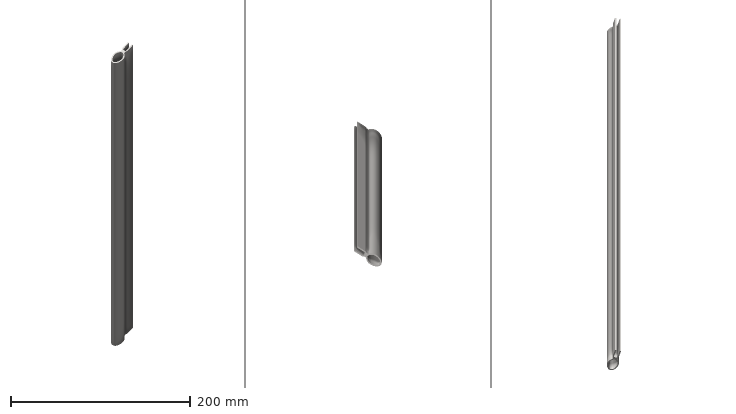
import math

import cadquery as cq

length = 500.0
depth = 33.5
wall = 1.5

bulb_half_width = 6.5
bulb_widest_y = -6.5
bulb_bottom_y = -depth / 2
shoulder_radius = 10.5
nose_radius = 4.5
bulb_top_y = 1.5
cavity_top_y = 1.0
nose_flat_width = 2.0
nose_flat_angle = math.acos(nose_flat_width / 2 / nose_radius)
nose_center_y = bulb_bottom_y + nose_radius * math.sin(nose_flat_angle)
nose_drop = bulb_widest_y - nose_center_y
flank_radius = (bulb_half_width**2 - nose_radius**2 + nose_drop**2) / (2 * (bulb_half_width - nose_radius))
nose_angle = math.atan2(nose_drop, flank_radius - bulb_half_width)

neck_width = 5.0
neck_bottom_y = cavity_top_y
taper_start_y = 4.0
taper_end_y = 6.5
prong_outer_width = 7.0
slot_width = prong_outer_width - 2 * wall
slot_floor_y = 5.0
prong_tip_y = depth / 2


def point_on_arc(center, radius, angle):
    """Point on an arc, with the angle measured from +X."""
    return (center[0] + radius * math.cos(angle), center[1] + radius * math.sin(angle))


def mirrored(point):
    """Matching point on the -X side."""
    return (-point[0], point[1])


def bulb_prism(inset, top_y):
    """Solid bulb bar along Z, inset evenly from the outer skin and cut flat at top_y."""
    shoulder_center = (bulb_half_width - shoulder_radius, bulb_widest_y)
    flank_center = (bulb_half_width - flank_radius, bulb_widest_y)
    nose_center = (0, nose_center_y)
    shoulder = shoulder_radius - inset
    flank = flank_radius - inset
    top_angle = math.asin((top_y - bulb_widest_y) / shoulder)

    top = point_on_arc(shoulder_center, shoulder, top_angle)
    shoulder_middle = point_on_arc(shoulder_center, shoulder, top_angle / 2)
    widest = (bulb_half_width - inset, bulb_widest_y)
    flank_middle = point_on_arc(flank_center, flank, -nose_angle / 2)
    nose_start = point_on_arc(flank_center, flank, -nose_angle)
    nose_middle = point_on_arc(nose_center, nose_radius - inset, -(nose_angle + nose_flat_angle) / 2)
    flat_end = point_on_arc(nose_center, nose_radius - inset, -nose_flat_angle)
    return (
        cq.Workplane("XY", origin=(0, 0, -length / 2))
        .moveTo(*top)
        .threePointArc(shoulder_middle, widest)
        .threePointArc(flank_middle, nose_start)
        .threePointArc(nose_middle, flat_end)
        .lineTo(*mirrored(flat_end))
        .threePointArc(mirrored(nose_middle), mirrored(nose_start))
        .threePointArc(mirrored(flank_middle), mirrored(widest))
        .threePointArc(mirrored(shoulder_middle), mirrored(top))
        .close()
        .extrude(length)
    )


def forked_neck():
    """Neck that widens through sloped faces into the two prongs."""
    right_half = [
        (neck_width / 2, neck_bottom_y),
        (neck_width / 2, taper_start_y),
        (prong_outer_width / 2, taper_end_y),
        (prong_outer_width / 2, prong_tip_y),
        (slot_width / 2, prong_tip_y),
        (slot_width / 2, slot_floor_y),
    ]
    left_half = [mirrored(point) for point in reversed(right_half)]
    return (
        cq.Workplane("XY", origin=(0, 0, -length / 2))
        .polyline(right_half + left_half)
        .close()
        .extrude(length)
    )


bulb = bulb_prism(0, bulb_top_y)
cavity = bulb_prism(wall, cavity_top_y)

result = bulb.union(forked_neck()).cut(cavity)